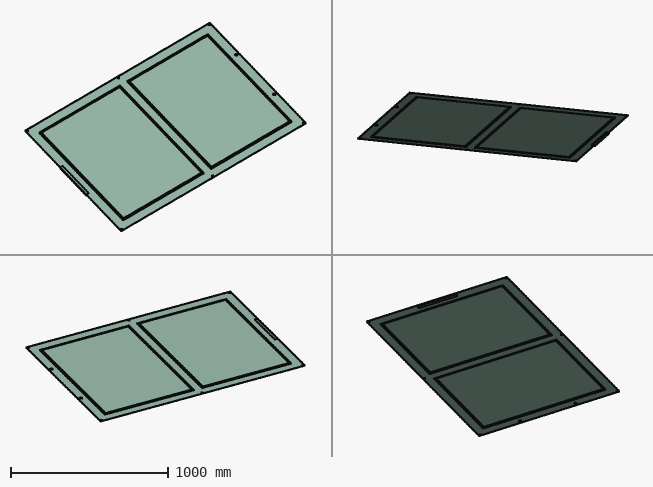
import cadquery as cq

plate_width = 1020.0
plate_length = 1465.0
plate_thickness = 3.0
total_height = 11.1

window_width = 870.0
window_length = 620.0
window_offset = 349.0
pane_overlap = 10.0
pane_thickness = 2.0

fixing_diameter = 10.0
fixing_inset = 10.0

keyhole_diameter = 15.0
keyhole_slot_width = 7.0
keyhole_slot_rise = 12.0
keyhole_offset = 200.0
keyhole_inset = 20.0

grip_length = 278.0
grip_width = 20.0
grip_height = total_height - plate_thickness

pane_width = window_width + 2 * pane_overlap
pane_length = window_length + 2 * pane_overlap
window_centers = [(0, side * window_offset) for side in (-1, 1)]


def block(width, length, height, center, bottom=0):
    """Rectangular block around a center point, rising from a bottom level."""
    base = cq.Workplane("XY", origin=(0, 0, bottom)).center(*center)
    return base.rect(width, length).extrude(height)


def fixing_holes():
    x = plate_width / 2 - fixing_inset
    y = plate_length / 2 - fixing_inset
    centers = [(side * x, row * y) for side in (-1, 1) for row in (-1, 0, 1)]
    return cq.Workplane("XY").pushPoints(centers).circle(fixing_diameter / 2).extrude(plate_thickness)


def keyhole(x):
    """Round entry hole with a narrow round-ended slot toward the back edge."""
    y = plate_length / 2 - keyhole_inset
    slot_radius = keyhole_slot_width / 2
    slot_end_y = y + keyhole_slot_rise - slot_radius
    entry = cq.Workplane("XY").center(x, y).circle(keyhole_diameter / 2).extrude(plate_thickness)
    slot = block(keyhole_slot_width, slot_end_y - y, plate_thickness, (x, (y + slot_end_y) / 2))
    slot_end = cq.Workplane("XY").center(x, slot_end_y).circle(slot_radius).extrude(plate_thickness)
    return entry.union(slot).union(slot_end)


def frame_plate():
    plate = block(plate_width, plate_length, plate_thickness, (0, 0))
    for center in window_centers:
        plate = plate.cut(block(window_width, window_length, plate_thickness, center))
    for side in (-1, 1):
        plate = plate.cut(keyhole(side * keyhole_offset))
    return plate.cut(fixing_holes())


def pane(center):
    """Flat pane against the lower face of the plate, overlapping one window all round."""
    return block(pane_width, pane_length, pane_thickness, center, bottom=-pane_thickness)


def grip_bar():
    """Bar below the plate, flush with its front edge."""
    center = (0, (grip_width - plate_length) / 2)
    return block(grip_length, grip_width, grip_height, center, bottom=-grip_height)


plate = frame_plate()
panes = [pane(center) for center in window_centers]
grip = grip_bar()

result = cq.Compound.makeCompound([plate.val(), *[item.val() for item in panes], grip.val()])